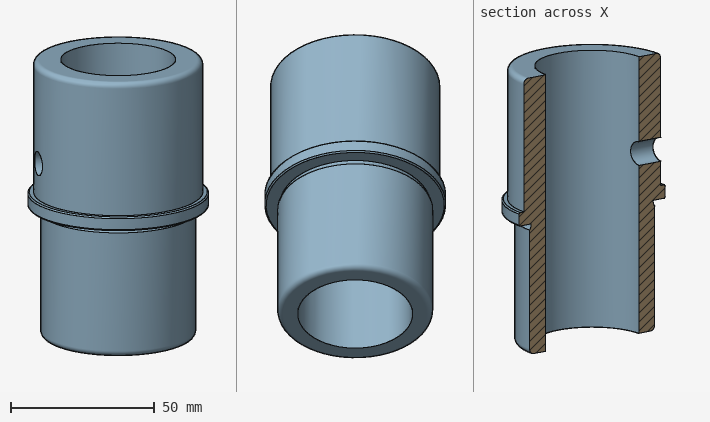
import cadquery as cq

length = 100.0
bore_diameter = 40.0
edge_radius = 2.0

spigot_diameter = 54.0
groove_depth = 0.7
groove_width = 2.0

collar_diameter = 63.0
collar_bottom = 47.0
collar_thickness = 5.0
collar_chamfer = 0.5

barrel_diameter = 59.0

hole_diameter = 8.5
hole_height = 65.0

collar_top = collar_bottom + collar_thickness
groove_bottom = collar_bottom - groove_width
spigot_radius = spigot_diameter / 2
neck_radius = spigot_radius - groove_depth
groove_arc_radius = (groove_depth**2 + groove_width**2) / (2 * groove_depth)


def cylinder(diameter, bottom, top):
    """Solid cylinder about the Z axis between two heights."""
    return cq.Workplane("XY").workplane(offset=bottom).circle(diameter / 2).extrude(top - bottom)


spigot = cylinder(spigot_diameter, 0, groove_bottom).faces("<Z").edges().fillet(edge_radius)
neck = (
    cq.Workplane("XZ")
    .moveTo(0, groove_bottom)
    .lineTo(spigot_radius, groove_bottom)
    .radiusArc((neck_radius, collar_bottom), groove_arc_radius)
    .lineTo(0, collar_bottom)
    .close()
    .revolve(360, (0, 0, 0), (0, 1, 0))
)
collar = cylinder(collar_diameter, collar_bottom, collar_top).edges("%CIRCLE").chamfer(collar_chamfer)
barrel = cylinder(barrel_diameter, collar_top, length).faces(">Z").edges().fillet(edge_radius)
body = spigot.union(neck).union(collar).union(barrel)

bore = cylinder(bore_diameter, 0, length)

hole = (
    cq.Workplane("XZ", origin=(0, -barrel_diameter / 2, hole_height))
    .circle(hole_diameter / 2)
    .extrude(-barrel_diameter / 2)
)

result = body.cut(bore).cut(hole)